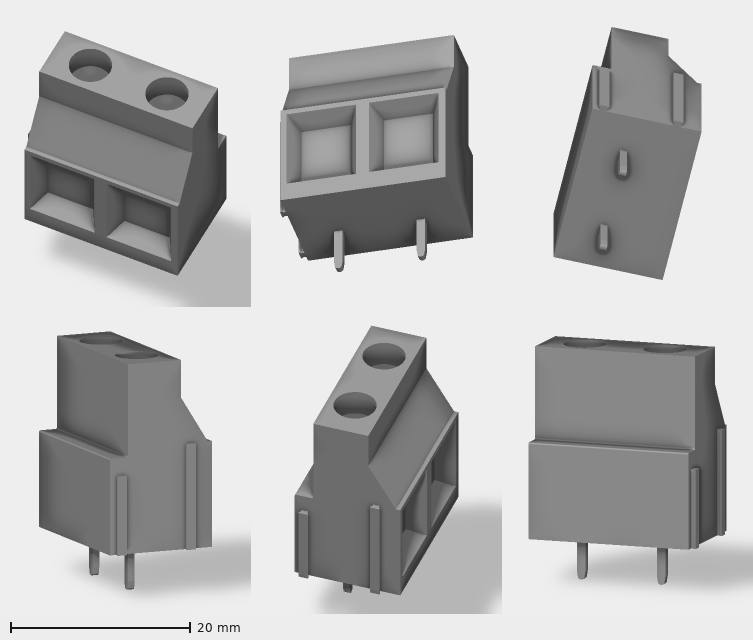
import cadquery as cq


overall_width = 19.6
overall_height = 26.5

poles = 2
pitch = 9.5
width = poles * pitch
depth = 12.5
height = 21.5
front_height = 12.0
front_ledge = 0.5
slope_top = 17.22
tower_front = 3.8
tower_back = 10.3
step_height = 10.95
step_fillet = 0.19

pocket_width = 8.0
pocket_bottom = 2.12
pocket_top = 11.4
pocket_inset = 1.2
pocket_depth = 2.12
pocket_shift = -0.05

screw_radius = 2.4
screw_depth = 3.0
screw_y = 7.08

rib_projection = overall_width - width
rib_head = 0.15
rib_taper = 0.15
rib_head_width = 1.15
rib_neck_width = 0.8
front_rib_y = 2.8
rear_rib_y = 11.3
rear_rib_height = 8.98

pin_width = 1.0
pin_thickness = 0.8
pin_length = overall_height - height
pin_y = 7.92
pin_straight = 4.0
pin_tip_width = 0.75
pin_tip_rounding = 0.2

pole_centers = [(pole + 0.5) * pitch for pole in range(poles)]


def make_shell():
    """Stepped side profile, extruded along the full width."""
    shell = (
        cq.Workplane("YZ")
        .moveTo(0, 0)
        .lineTo(0, front_height)
        .lineTo(front_ledge, front_height)
        .lineTo(tower_front, slope_top)
        .lineTo(tower_front, height)
        .lineTo(tower_back, height)
        .lineTo(tower_back, step_height)
        .lineTo(depth, step_height)
        .lineTo(depth, 0)
        .close()
        .extrude(width)
    )
    step_corners = [(tower_back, step_height), (depth, step_height)]
    for y, z in step_corners:
        edge = cq.selectors.NearestToPointSelector((width / 2, y, z))
        shell = shell.edges("|X").edges(edge).fillet(step_fillet)
    return shell


def make_pocket(center_x):
    """Rectangular funnel narrowing from the front wall to its floor."""
    pocket_height = pocket_top - pocket_bottom
    middle_z = (pocket_top + pocket_bottom) / 2
    return (
        cq.Workplane("XZ", origin=(center_x + pocket_shift, 0, middle_z))
        .rect(pocket_width, pocket_height)
        .workplane(offset=-pocket_depth)
        .rect(pocket_width - 2 * pocket_inset, pocket_height - 2 * pocket_inset)
        .loft(ruled=True)
    )


def make_screw_hole(center_x):
    return (
        cq.Workplane("XY", origin=(center_x, screw_y, height))
        .circle(screw_radius)
        .extrude(-screw_depth)
    )


def make_rib(center_y, rib_height):
    """Upright rib with a narrow neck, a taper and a wider outer head."""
    head = rib_head_width / 2
    neck = rib_neck_width / 2
    outer_x = -rib_projection
    taper_x = outer_x + rib_head
    neck_x = taper_x + rib_taper
    return (
        cq.Workplane("XY", origin=(0, center_y, 0))
        .polyline([
            (0, -neck),
            (neck_x, -neck),
            (taper_x, -head),
            (outer_x, -head),
            (outer_x, head),
            (taper_x, head),
            (neck_x, neck),
            (0, neck),
        ])
        .close()
        .extrude(rib_height)
    )


def make_housing():
    body = make_shell()
    for center_x in pole_centers:
        body = body.cut(make_pocket(center_x))
        body = body.cut(make_screw_hole(center_x))
    body = body.union(make_rib(front_rib_y, front_height))
    return body.union(make_rib(rear_rib_y, rear_rib_height))


def make_pin(center_x):
    """Flat pin below the housing, slightly tapered to a rounded tip."""
    half = pin_width / 2
    tip = pin_tip_width / 2
    rounding_z = pin_tip_rounding - pin_length
    return (
        cq.Workplane("XZ", origin=(center_x, pin_y, 0))
        .moveTo(-half, 0)
        .lineTo(-half, -pin_straight)
        .lineTo(-tip, rounding_z)
        .threePointArc((0, -pin_length), (tip, rounding_z))
        .lineTo(half, -pin_straight)
        .lineTo(half, 0)
        .close()
        .extrude(pin_thickness / 2, both=True)
    )


housing = make_housing()
pins = [make_pin(center_x) for center_x in pole_centers]

result = cq.Compound.makeCompound([housing.val(), *[pin.val() for pin in pins]])